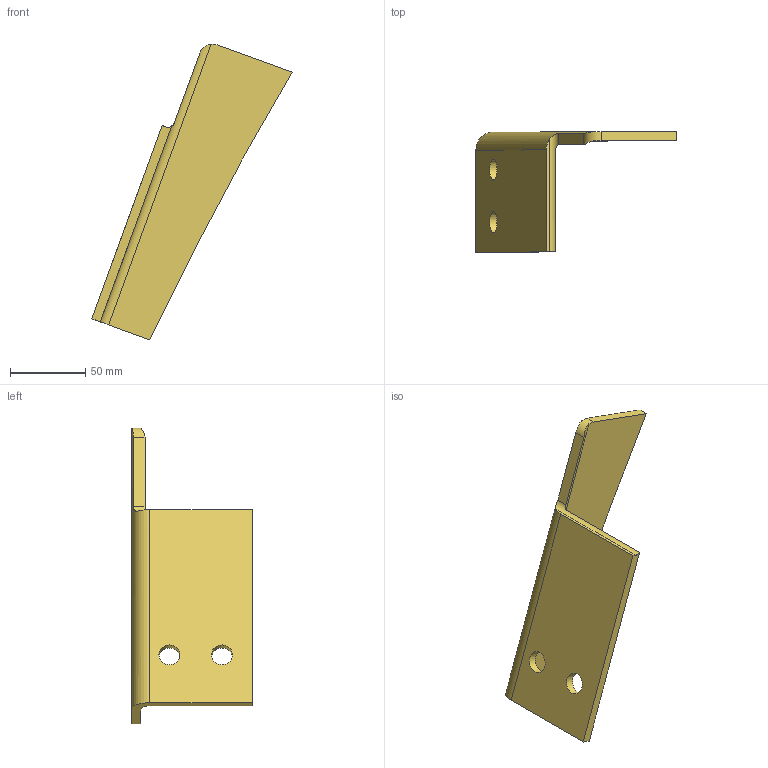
import cadquery as cq

THICKNESS = 6.0
BEND_INNER_RADIUS = 6.0
TILT_DEGREES = 20.0
PLATE_LENGTH = 200.0
PLATE_BOTTOM_WIDTH = 41.1
PLATE_TOP_WIDTH = 69.23
FREE_EDGE_RADIUS = 2200.0
FLANGE_DEPTH = 80.0
FLANGE_LENGTH = 137.0
NOTCH_OFFSET = 7.0
NOTCH_RADIUS = 4.5
TOP_CORNER_RADIUS = 9.0
HOLE_DIAMETER = 14.0
HOLE_HEIGHT = 34.0
FIRST_HOLE_DEPTH = 25.0
HOLE_COUNT = 2
HOLE_SPACING = 35.0

BEND_OUTER_RADIUS = BEND_INNER_RADIUS + THICKNESS


def bent_angle():
    """Constant-section angle: plate along X, flange along -Y, rounded bend at the origin."""
    return (
        cq.Workplane("XY")
        .moveTo(0, -FLANGE_DEPTH)
        .lineTo(0, -BEND_OUTER_RADIUS)
        .radiusArc((BEND_OUTER_RADIUS, 0), BEND_OUTER_RADIUS)
        .lineTo(PLATE_TOP_WIDTH, 0)
        .lineTo(PLATE_TOP_WIDTH, -THICKNESS)
        .lineTo(BEND_OUTER_RADIUS, -THICKNESS)
        .radiusArc((THICKNESS, -BEND_OUTER_RADIUS), -BEND_INNER_RADIUS)
        .lineTo(THICKNESS, -FLANGE_DEPTH)
        .close()
        .extrude(PLATE_LENGTH)
    )


def side_outline():
    """Outline of the bracket across its length, as a prism running through its full depth."""
    notch_top = FLANGE_LENGTH + NOTCH_RADIUS
    corner_bottom = PLATE_LENGTH - TOP_CORNER_RADIUS
    return (
        cq.Workplane("XZ")
        .moveTo(0, 0)
        .lineTo(0, FLANGE_LENGTH)
        .lineTo(NOTCH_OFFSET - NOTCH_RADIUS, FLANGE_LENGTH)
        .radiusArc((NOTCH_OFFSET, notch_top), -NOTCH_RADIUS)
        .lineTo(NOTCH_OFFSET, corner_bottom)
        .radiusArc((NOTCH_OFFSET + TOP_CORNER_RADIUS, PLATE_LENGTH), TOP_CORNER_RADIUS)
        .lineTo(PLATE_TOP_WIDTH, PLATE_LENGTH)
        .radiusArc((PLATE_BOTTOM_WIDTH, 0), -FREE_EDGE_RADIUS)
        .close()
        .extrude(FLANGE_DEPTH)
    )


def flange_holes():
    """Cylinders for the row of holes through the flange."""
    centres = [(-FIRST_HOLE_DEPTH - i * HOLE_SPACING, HOLE_HEIGHT) for i in range(HOLE_COUNT)]
    return cq.Workplane("YZ").pushPoints(centres).circle(HOLE_DIAMETER / 2).extrude(THICKNESS)


upright = bent_angle().intersect(side_outline()).cut(flange_holes())
result = upright.rotate((0, 0, 0), (0, 1, 0), TILT_DEGREES)